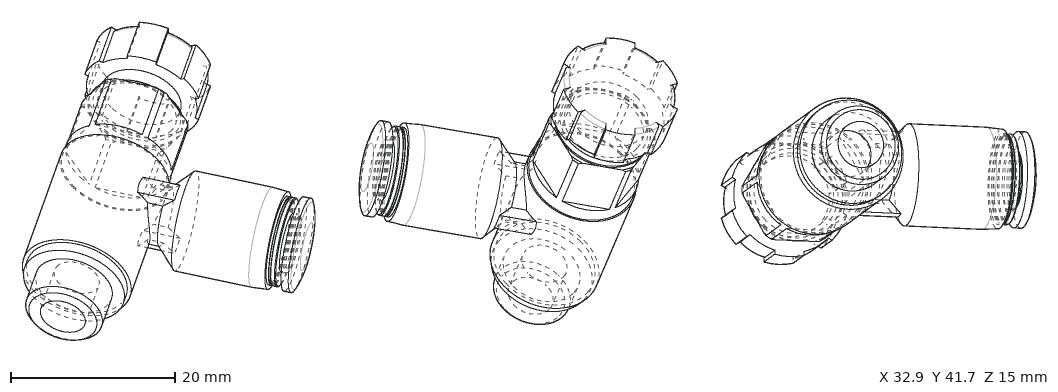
import cadquery as cq
import math


spigot_end = -18.6
flange_start = -13.5
body_start = -12.2
body_end = 5.1
hex_start = 7.0
hex_end = 14.7
collar_end = 15.35
knob_start = 17.55
knob_end = 23.1

spigot_dia = 9.73
spigot_chamfer = 0.55
flange_dia = 12.8
body_dia = 13.8
hex_sides = 6
hex_corner_dia = 13.4
hex_across_flats = 12.0
hex_chamfer = 0.2
collar_dia = 12.0
collar_tip_dia = 11.1
collar_chamfer_length = 0.4
stem_dia = 10.0

bore_dia = 5.71
bore_depth = body_start - spigot_end

knob_base_dia = 14.0
knob_lobe_dia = 14.95
lobe_width = 3.67
lobe_count = 6
lobe_first_angle = 30.0
knob_rim_fillet = 0.5

branch_neck_end = 7.85
branch_body_start = 10.35
branch_taper_start = 20.1
branch_body_end = 22.1
ring_end = 23.28
release_start = 24.08
release_edge = 25.0
release_shoulder = 25.23
branch_tip = 25.72

branch_neck_dia = 7.4
branch_body_dia = 12.5
branch_body_end_dia = 12.2
ring_dia = 11.1
ring_chamfer = 0.12
ring_groove_dia = 10.7
ring_groove_start = 22.4
ring_groove_end = 22.65
release_stem_dia = 7.4
release_undercut = 0.2
release_dia = 11.8
release_shoulder_dia = 10.9
release_tip_dia = 6.0

rib_round_dia = 10.44
rib_width = 2.5
rib_end = 9.38

FULL_TURN = 360.0


def y_cylinder(diameter, start, end):
    """Cylinder on the Y axis between two stations."""
    plane = cq.Plane(origin=(0, start, 0), xDir=(1, 0, 0), normal=(0, 1, 0))
    return cq.Workplane(plane).circle(diameter / 2).extrude(end - start)


def x_cylinder(diameter, start, end):
    """Cylinder on the X axis between two stations."""
    return cq.Workplane("YZ", origin=(start, 0, 0)).circle(diameter / 2).extrude(end - start)


def make_hex():
    """Hexagon with rounded corners, flats facing +Z and -Z, chamfered at the knob end."""
    length = hex_end - hex_start
    corner_round = y_cylinder(hex_corner_dia, hex_start, hex_end).faces(">Y").chamfer(hex_chamfer)
    point_to_point = hex_across_flats / math.cos(math.pi / hex_sides)
    plane = cq.Plane(origin=(0, hex_start, 0), xDir=(1, 0, 0), normal=(0, 1, 0))
    hexagon = cq.Workplane(plane).polygon(hex_sides, point_to_point).extrude(length)
    return corner_round.intersect(hexagon)


def make_main_body():
    """Stepped parts on the Y axis, without the knob."""
    spigot = y_cylinder(spigot_dia, spigot_end, flange_start).faces("<Y").chamfer(spigot_chamfer)
    collar = (
        y_cylinder(collar_dia, hex_end, collar_end)
        .faces(">Y")
        .chamfer(collar_chamfer_length, (collar_dia - collar_tip_dia) / 2)
    )
    return (
        spigot.union(y_cylinder(flange_dia, flange_start, body_start))
        .union(y_cylinder(body_dia, body_start, body_end))
        .union(y_cylinder(hex_corner_dia, body_end, hex_start))
        .union(make_hex())
        .union(collar)
        .union(y_cylinder(stem_dia, collar_end, knob_start))
    )


def make_knob():
    """Round knob with parallel-sided grip lobes spaced evenly about Y."""
    length = knob_end - knob_start
    knob = y_cylinder(knob_base_dia, knob_start, knob_end).faces(">Y").edges().fillet(knob_rim_fillet)
    lobe_limit = y_cylinder(knob_lobe_dia, knob_start, knob_end)
    lobe_reach = knob_lobe_dia / 2
    bar = (
        cq.Workplane("XY")
        .box(lobe_reach, length, lobe_width, centered=(False, False, True))
        .translate((0, knob_start, 0))
    )
    for index in range(lobe_count):
        angle = lobe_first_angle + index * FULL_TURN / lobe_count
        lobe = bar.rotate((0, 0, 0), (0, 1, 0), angle).intersect(lobe_limit)
        knob = knob.union(lobe)
    return knob


def make_branch():
    """Tube connector revolved about the X axis, ending in the release sleeve."""
    outline = [
        (0, 0),
        (0, branch_neck_dia / 2),
        (branch_neck_end, branch_neck_dia / 2),
        (branch_body_start, branch_body_dia / 2),
        (branch_taper_start, branch_body_dia / 2),
        (branch_body_end, branch_body_end_dia / 2),
        (branch_body_end, ring_dia / 2),
        (ring_groove_start, ring_dia / 2),
        (ring_groove_start, ring_groove_dia / 2),
        (ring_groove_end, ring_groove_dia / 2),
        (ring_groove_end, ring_dia / 2),
        (ring_end - ring_chamfer, ring_dia / 2),
        (ring_end, ring_dia / 2 - ring_chamfer),
        (ring_end, release_stem_dia / 2),
        (release_start - release_undercut, release_stem_dia / 2),
        (release_start, release_stem_dia / 2 - release_undercut),
        (release_start, release_dia / 2),
        (release_edge, release_dia / 2),
        (release_shoulder, release_shoulder_dia / 2),
    ]
    nose_rise = branch_tip - release_shoulder
    nose_run = (release_shoulder_dia - release_tip_dia) / 2
    nose_radius = (nose_rise**2 + nose_run**2) / (2 * nose_rise)
    nose_half_angle = math.asin(nose_run / nose_radius) / 2
    nose_middle = (
        branch_tip - nose_radius * (1 - math.cos(nose_half_angle)),
        release_tip_dia / 2 + nose_radius * math.sin(nose_half_angle),
    )
    return (
        cq.Workplane("XY")
        .polyline(outline)
        .threePointArc(nose_middle, (branch_tip, release_tip_dia / 2))
        .lineTo(branch_tip, 0)
        .close()
        .revolve(FULL_TURN, (0, 0, 0), (1, 0, 0))
    )


def make_rib():
    """Upright rib with rounded top and bottom edges, reaching from the body into the branch cone."""
    slab = cq.Workplane("XY").box(
        rib_end, rib_width, rib_round_dia, centered=(False, True, True)
    )
    return x_cylinder(rib_round_dia, 0, rib_end).intersect(slab)


bore = y_cylinder(bore_dia, spigot_end, spigot_end + bore_depth)

result = make_main_body().union(make_knob()).union(make_branch()).union(make_rib()).cut(bore)